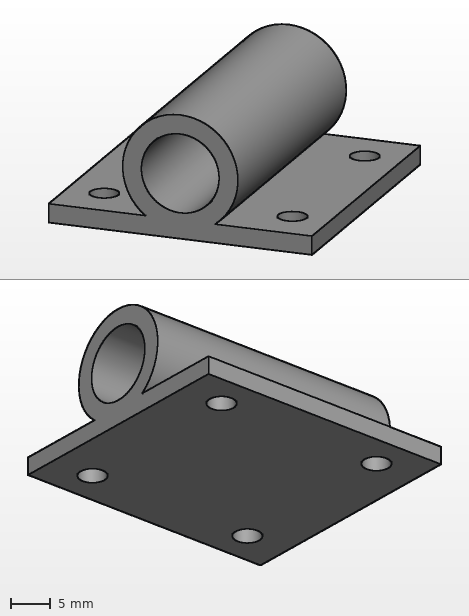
import cadquery as cq

plate_width = 35.57
length = 38.17
plate_thickness = 2.52

tube_diameter = 15.57
bore_diameter = 10.5
overall_height = 16.5
tube_axis_height = overall_height - tube_diameter / 2

hole_diameter = 3.8
hole_spacing = 25.42


def cylinder_along_y(diameter):
    """Full-length cylinder on the tube axis, centred on the plate."""
    return (
        cq.Workplane("XZ")
        .center(0, tube_axis_height)
        .circle(diameter / 2)
        .extrude(length / 2, both=True)
    )


plate = (
    cq.Workplane("XY")
    .rect(plate_width, length)
    .extrude(plate_thickness)
)
mounting_holes = (
    cq.Workplane("XY")
    .rect(hole_spacing, hole_spacing, forConstruction=True)
    .vertices()
    .circle(hole_diameter / 2)
    .extrude(plate_thickness)
)

tube = cylinder_along_y(tube_diameter)
bore = cylinder_along_y(bore_diameter)

result = plate.cut(mounting_holes).union(tube).cut(bore)